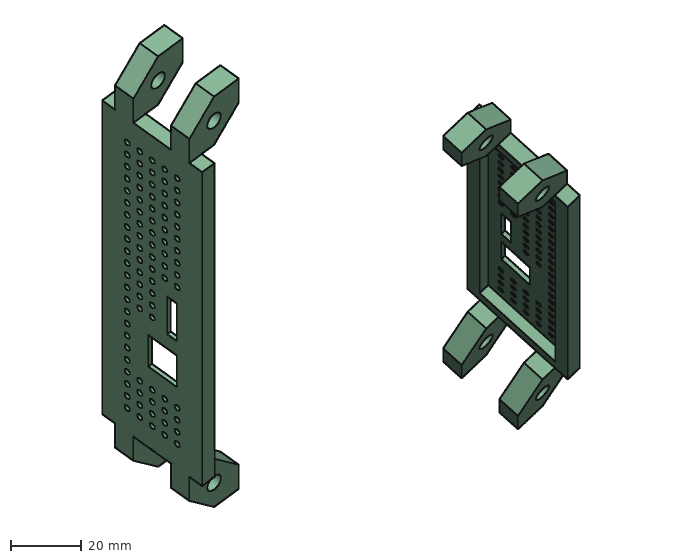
import cadquery as cq

plate_width = 40.0
plate_height = 130.0
plate_thickness = 5.0

lug_size = 20.0
lug_chamfer = lug_size / 2
lug_width = 7.4
lug_inner_offset = 7.5
lug_hole_diameter = 5.5

hole_diameter = 2.0
hole_pitch = 5.0
grid_left = -10.0
grid_top = 55.0
row_groups = [(10, 5), (4, 3), (5, 1), (4, 5)]

pocket_rim = 5.0
front_wall = 1.5

window_right = 9.75
slot_width = 3.75
slot_height = 15.5
slot_center_z = -4.75
window_width = 11.25
window_height = 13.0
window_center_z = -25.0


def make_plate():
    return cq.Workplane("XY").box(
        plate_width, plate_thickness, plate_height, centered=(True, False, True)
    )


def make_pocket():
    return (
        cq.Workplane("XY")
        .box(
            plate_width - 2 * pocket_rim,
            plate_thickness - front_wall,
            plate_height - 2 * pocket_rim,
            centered=(True, False, True),
        )
        .translate((0, front_wall, 0))
    )


def make_lug(x_start, z_side):
    """Lug with two opposite cut corners; z_side is +1 for the upper edge, -1 for the lower."""
    far = lug_size
    cut = lug_chamfer
    profile = [
        (0, 0),
        (cut, 0),
        (far, far - cut),
        (far, far),
        (far - cut, far),
        (0, cut),
    ]
    edge_z = plate_height / 2
    points = [(y, z_side * (edge_z + rise)) for y, rise in profile]
    hole_center = (lug_size / 2, z_side * (edge_z + lug_size / 2))
    plane = cq.Workplane("YZ", origin=(x_start, 0, 0))
    body = plane.polyline(points).close().extrude(lug_width)
    hole = plane.center(*hole_center).circle(lug_hole_diameter / 2).extrude(lug_width)
    return body.cut(hole)


def grid_points():
    """Hole centres as (x, z) pairs, row by row from the top."""
    points = []
    row = 0
    for row_count, holes_per_row in row_groups:
        for _ in range(row_count):
            z = grid_top - row * hole_pitch
            points += [(grid_left + column * hole_pitch, z) for column in range(holes_per_row)]
            row += 1
    return points


def make_grid_holes():
    return (
        cq.Workplane("XZ")
        .pushPoints(grid_points())
        .circle(hole_diameter / 2)
        .extrude(-plate_thickness)
    )


def make_window(width, height, center_z):
    return (
        cq.Workplane("XZ")
        .center(window_right - width / 2, center_z)
        .rect(width, height)
        .extrude(-plate_thickness)
    )


result = (
    make_plate()
    .cut(make_pocket())
    .cut(make_grid_holes())
    .cut(make_window(slot_width, slot_height, slot_center_z))
    .cut(make_window(window_width, window_height, window_center_z))
)

for lug_start in (-lug_inner_offset - lug_width, lug_inner_offset):
    for side in (1, -1):
        result = result.union(make_lug(lug_start, side))